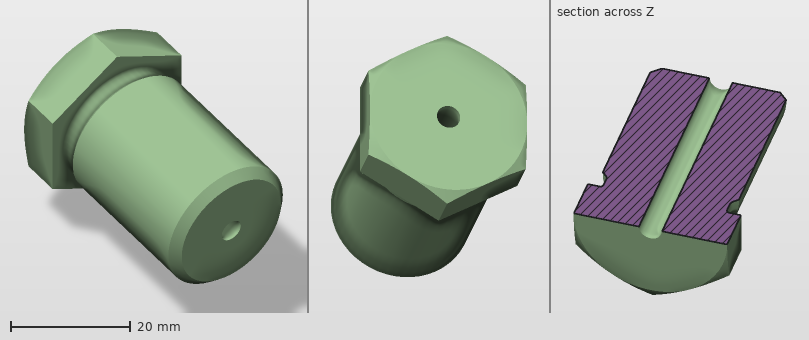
import cadquery as cq
import math

head_across_flats = 27.0
head_thickness = 8.0
head_bevel_angle = 30.0

overall_length = 40.0
shank_diameter = 24.0
end_chamfer = 1.6

undercut_diameter = 21.8
undercut_length = 3.6
head_fillet_radius = 0.5
shank_fillet_radius = 1.0
runout_angle = 45.0

bore_diameter = 4.0

hexagon_half_angle = math.radians(30)
head_across_corners = head_across_flats / math.cos(hexagon_half_angle)
shank_radius = shank_diameter / 2
undercut_radius = undercut_diameter / 2


def revolve_about_x(profile):
    """Revolve a closed (X, radius) profile a full turn about the X axis."""
    return profile.close().revolve(360, (0, 0, 0), (1, 0, 0))


def make_head():
    """Hexagon whose outer corners are cut by a cone starting at the flats."""
    quarter_turn = 90
    hexagon = (
        cq.Workplane("YZ")
        .polygon(6, head_across_corners)
        .extrude(head_thickness)
        .rotate((0, 0, 0), (1, 0, 0), quarter_turn)
    )
    inner_radius = head_across_flats / 2
    outer_radius = inner_radius + head_thickness / math.tan(math.radians(head_bevel_angle))
    bevel_envelope = revolve_about_x(
        cq.Workplane("XY")
        .lineTo(0, inner_radius)
        .lineTo(head_thickness, outer_radius)
        .lineTo(head_thickness, 0)
    )
    return hexagon.intersect(bevel_envelope)


def make_shank():
    """Shank with a filleted undercut, a conical runout and a chamfered end."""
    runout = math.radians(runout_angle)
    shank_start = head_thickness + undercut_length
    fillet_end_radius = undercut_radius + shank_fillet_radius * (1 - math.cos(runout))
    fillet_end_x = shank_start - (shank_radius - fillet_end_radius) / math.tan(runout)
    floor_end_x = fillet_end_x - shank_fillet_radius * math.sin(runout)
    floor_start_x = head_thickness + head_fillet_radius

    profile = (
        cq.Workplane("XY")
        .moveTo(head_thickness, 0)
        .lineTo(head_thickness, undercut_radius + head_fillet_radius)
        .radiusArc((floor_start_x, undercut_radius), -head_fillet_radius)
        .lineTo(floor_end_x, undercut_radius)
        .radiusArc((fillet_end_x, fillet_end_radius), -shank_fillet_radius)
        .lineTo(shank_start, shank_radius)
        .lineTo(overall_length - end_chamfer, shank_radius)
        .lineTo(overall_length, shank_radius - end_chamfer)
        .lineTo(overall_length, 0)
    )
    return revolve_about_x(profile)


def make_bore():
    """Cutter for the straight bore along the axis."""
    return cq.Workplane("YZ").circle(bore_diameter / 2).extrude(overall_length)


result = make_head().union(make_shank()).cut(make_bore())